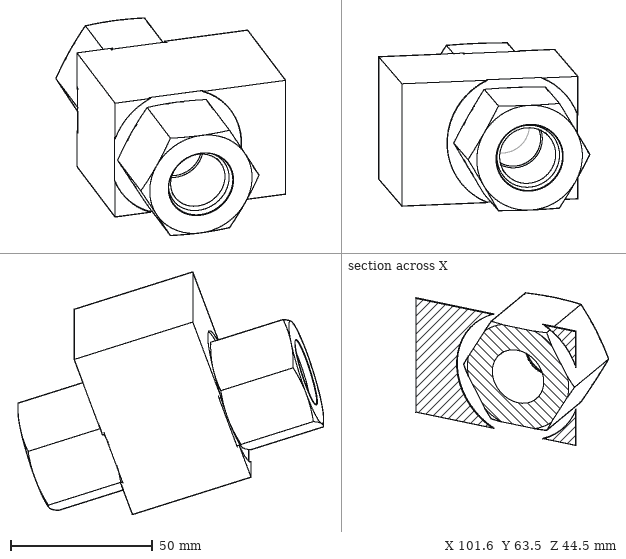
import cadquery as cq
import math

overall_length = 101.6
block_width = 44.5
block_height = 44.5
block_depth = 63.5
axis_to_front = 22.9

seat_diameter = 48.6
seat_depth = 0.8
passage_diameter = 19.1

hex_sides = 6
across_flats = 38.1
hex_chamfer_angle = 20.5
mouth_diameter = 24.3
countersink_diameter = 23.9
countersink_end_diameter = 22.6
countersink_end_depth = 2.4
fitting_bore_diameter = 20.2
drill_point_angle = 118.0

across_corners = across_flats / math.cos(math.pi / hex_sides)
seat_x = block_width / 2 - seat_depth
outer_x = overall_length / 2
fitting_length = outer_x - seat_x
corner_height = (across_corners - across_flats) / 2
chamfer_length = corner_height * math.tan(math.radians(hex_chamfer_angle))
edge_break = (mouth_diameter - countersink_diameter) / 2
drill_cone_height = (fitting_bore_diameter - passage_diameter) / 2
drill_cone_length = drill_cone_height / math.tan(math.radians(drill_point_angle / 2))
shoulder_length = (countersink_end_diameter - fitting_bore_diameter) / 2


def make_block():
    """Rectangular block with a through passage and a spot face on each X side."""
    block = cq.Workplane("XY").box(block_width, block_depth, block_height)
    block = block.translate((0, block_depth / 2 - axis_to_front, 0))
    passage = cq.Workplane("YZ").circle(passage_diameter / 2).extrude(block_width / 2, both=True)
    block = block.cut(passage)
    for side in (-1, 1):
        seat = cq.Workplane("YZ", origin=(side * seat_x, 0, 0))
        block = block.cut(seat.circle(seat_diameter / 2).extrude(side * seat_depth))
    return block


def chamfer_envelope():
    """Round body whose conical ends trim the hexagon corners at both ends."""
    flat_radius = across_flats / 2
    corner_radius = across_corners / 2
    profile = [
        (seat_x, 0),
        (seat_x, flat_radius),
        (seat_x + chamfer_length, corner_radius),
        (outer_x - chamfer_length, corner_radius),
        (outer_x, flat_radius),
        (outer_x, 0),
    ]
    return cq.Workplane("XY").polyline(profile).close().revolve(360, (0, 0, 0), (1, 0, 0))


def fitting_cavity():
    """Bore with a drill-point inner end, a shoulder, a tapered countersink and a broken mouth edge."""
    shoulder_start_x = outer_x - countersink_end_depth
    profile = [
        (seat_x, 0),
        (seat_x, passage_diameter / 2),
        (seat_x + drill_cone_length, fitting_bore_diameter / 2),
        (shoulder_start_x - shoulder_length, fitting_bore_diameter / 2),
        (shoulder_start_x, countersink_end_diameter / 2),
        (outer_x - edge_break, countersink_diameter / 2),
        (outer_x, mouth_diameter / 2),
        (outer_x, 0),
    ]
    return cq.Workplane("XY").polyline(profile).close().revolve(360, (0, 0, 0), (1, 0, 0))


def make_fitting(turn):
    """Fitting on the +X side, turned about Z by the given angle in degrees."""
    seat = cq.Workplane("YZ", origin=(seat_x, 0, 0))
    hexagon = seat.polygon(hex_sides, across_corners).extrude(fitting_length)
    fitting = hexagon.intersect(chamfer_envelope()).cut(fitting_cavity())
    return fitting.rotate((0, 0, 0), (0, 0, 1), turn)


block = make_block()
fittings = [make_fitting(turn) for turn in (0, 180)]

result = cq.Compound.makeCompound([block.val(), *[fitting.val() for fitting in fittings]])